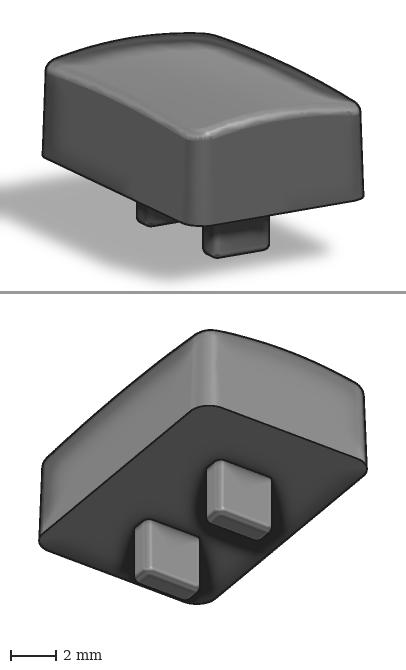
import cadquery as cq
import math

cap_length = 13.73
cap_width = 9.23
cap_crown_height = 5.0
cap_corner_radius = 1.0
wall_draft = 2.0
top_edge_radius = 0.5

crown_radius_along_x = 77.0
crown_radius_along_y = 20.0

leg_spacing = 5.7
leg_thickness = 1.25
leg_width = 3.0
leg_length = 2.84
leg_edge_radius = 0.35


def drafted_block():
    """Rounded rectangle drawn upwards with draft, tall enough to reach the crown."""
    block = (
        cq.Sketch()
        .rect(cap_length, cap_width)
        .vertices()
        .fillet(cap_corner_radius)
    )
    return cq.Workplane("XY").placeSketch(block).extrude(cap_crown_height, taper=wall_draft)


def dome():
    """Half barrel, lying along Y, whose outer surface is the doubly curved top of the cap."""
    half_barrel = cap_width
    end_drop = crown_radius_along_y - math.sqrt(crown_radius_along_y**2 - half_barrel**2)
    end_radius = crown_radius_along_x - end_drop
    axis_height = cap_crown_height - crown_radius_along_x
    return (
        cq.Workplane("XY", origin=(0, 0, axis_height))
        .moveTo(0, half_barrel)
        .lineTo(-end_radius, half_barrel)
        .threePointArc((-crown_radius_along_x, 0), (-end_radius, -half_barrel))
        .lineTo(0, -half_barrel)
        .close()
        .revolve(180, (0, -half_barrel), (0, half_barrel))
    )


def cap():
    """Drafted block trimmed by the dome, with the rim of the top rounded."""
    body = drafted_block().intersect(dome())
    return body.faces(">Z").edges().fillet(top_edge_radius)


def leg(center_x):
    """Rectangular leg with every edge rounded except where it meets the cap."""
    return (
        cq.Workplane("XY")
        .center(center_x, 0)
        .rect(leg_thickness, leg_width)
        .extrude(-leg_length)
        .edges("|Z or <Z")
        .fillet(leg_edge_radius)
    )


result = cap()
for side in (-1, 1):
    result = result.union(leg(side * leg_spacing / 2))